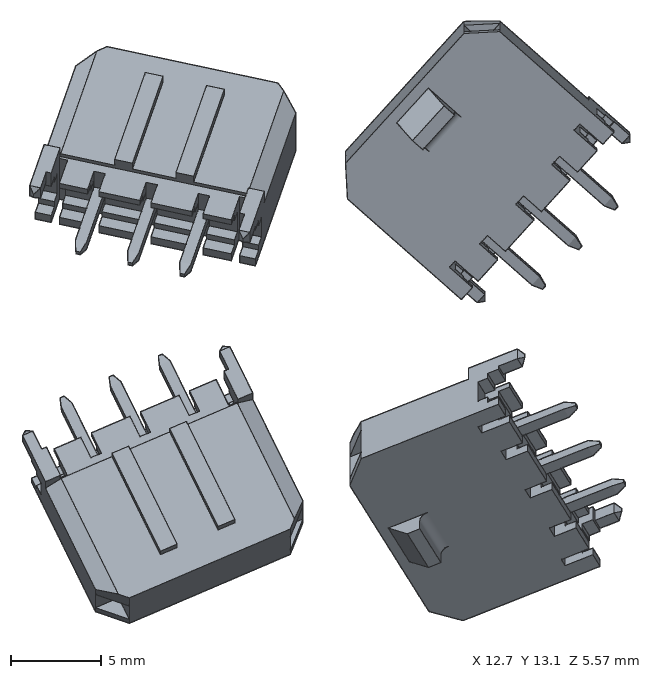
import cadquery as cq


HOUSING_WIDTH = 12.65
HOUSING_LENGTH = 9.9
HOUSING_HEIGHT = 3.86
CORNER_CHAMFER = 1.41
EDGE_BEVEL_WIDTH = 0.95
EDGE_BEVEL_HEIGHT = 0.48

RECESS_BOTTOM = 0.61
RECESS_TOP = 2.62

LEDGE_START = 8.05
LEDGE_HEIGHT = 3.61
MOUTH_START = 8.63
MOUTH_BOTTOM = 1.05
MOUTH_TOP = 2.76
MOUTH_STEP_START = 9.23
MOUTH_STEP_BOTTOM = 0.61
MOUTH_STEP_TOP = 3.19
PIN_SLOT_START = 8.57
END_SLOT_START = 8.19
END_SLOT_WIDTH = 0.47

TOP_HEIGHT = 4.37
RIB_WIDTH = 1.02
RIB_SPACING = 3.52
RIB_START = 1.62

EAR_WIDTH = 0.92
PEG_WIDTH = 0.63
PEG_BOTTOM = 3.47
PEG_TAPER_START = 11.08

LATCH_WIDTH = 2.63
LATCH_DEPTH = 1.2
LATCH_RAMP_START = 0.59
LATCH_RAMP_END = 1.77
LATCH_BACK = 2.54
LATCH_FILLET = 0.47

PIN_COUNT = 3
PIN_PITCH = 3.0
PIN_WIDTH = 0.64
PIN_TIP_WIDTH = 0.25
PIN_TAPER_START = 12.47
PIN_END = 13.08

HALF_WIDTH = HOUSING_WIDTH / 2
PIN_AXIS_HEIGHT = (MOUTH_BOTTOM + MOUTH_TOP) / 2
PIN_PLACES = [(i - (PIN_COUNT - 1) / 2) * PIN_PITCH for i in range(PIN_COUNT)]


def block(x_range, depth_range, z_range):
    """Box between two X values, two depths behind the mating face and two heights."""
    x0, x1 = x_range
    near, far = depth_range
    z0, z1 = z_range
    return cq.Workplane("XY").box(x1 - x0, far - near, z1 - z0, centered=False).translate((x0, -far, z0))


def on_both_sides(shape):
    """The shape together with its mirror image across the middle plane X = 0."""
    return shape.union(shape.mirror("YZ"))


def make_shell():
    """Outer block with its two mating corners cut off and its long top edges bevelled."""
    shell = block((-HALF_WIDTH, HALF_WIDTH), (0, HOUSING_LENGTH), (0, HOUSING_HEIGHT))
    shell = shell.edges("|Z and >Y").chamfer(CORNER_CHAMFER)
    bevel = (
        cq.Workplane("XZ")
        .moveTo(HALF_WIDTH, HOUSING_HEIGHT)
        .lineTo(HALF_WIDTH - EDGE_BEVEL_WIDTH, HOUSING_HEIGHT)
        .lineTo(HALF_WIDTH, HOUSING_HEIGHT - EDGE_BEVEL_HEIGHT)
        .close()
        .extrude(HOUSING_LENGTH)
    )
    return shell.cut(on_both_sides(bevel))


def make_corner_recesses():
    """Square cuts through the chamfered corners, between their upper and lower parts."""
    recess = block(
        (HALF_WIDTH - CORNER_CHAMFER, HALF_WIDTH),
        (0, CORNER_CHAMFER),
        (RECESS_BOTTOM, RECESS_TOP),
    )
    return on_both_sides(recess)


def make_ledge_cut():
    """Material removed above the lowered rear ledge."""
    return block((-HALF_WIDTH, HALF_WIDTH), (LEDGE_START, HOUSING_LENGTH), (LEDGE_HEIGHT, HOUSING_HEIGHT))


def make_ribs():
    """Two key ribs along the top face."""
    rib = block(
        ((RIB_SPACING - RIB_WIDTH) / 2, (RIB_SPACING + RIB_WIDTH) / 2),
        (RIB_START, LEDGE_START),
        (HOUSING_HEIGHT, TOP_HEIGHT),
    )
    return on_both_sides(rib)


def make_ears():
    """Raised rear corners, each carrying a locating peg that tapers at 45 degrees to a ridge."""
    ear = block(
        (HALF_WIDTH - EAR_WIDTH, HALF_WIDTH),
        (LEDGE_START, HOUSING_LENGTH),
        (MOUTH_STEP_TOP, TOP_HEIGHT),
    )
    peg_inner = HALF_WIDTH - PEG_WIDTH
    peg_end = PEG_TAPER_START + PEG_WIDTH / 2
    peg = block((peg_inner, HALF_WIDTH), (HOUSING_LENGTH, peg_end), (PEG_BOTTOM, TOP_HEIGHT))
    plan = (
        cq.Workplane("XY")
        .moveTo(peg_inner, -HOUSING_LENGTH)
        .lineTo(HALF_WIDTH, -HOUSING_LENGTH)
        .lineTo(HALF_WIDTH, -PEG_TAPER_START)
        .lineTo(HALF_WIDTH - PEG_WIDTH / 2, -peg_end)
        .lineTo(peg_inner, -PEG_TAPER_START)
        .close()
        .extrude(TOP_HEIGHT)
    )
    peg = peg.faces("<Y").edges("|X").chamfer(PEG_WIDTH / 2).intersect(plan)
    return on_both_sides(ear.union(peg))


def make_latch():
    """Hook under the floor with a ramp in front and a concave fillet at its back."""
    fillet_y = -(LATCH_BACK + LATCH_FILLET)
    return (
        cq.Workplane("YZ")
        .moveTo(-LATCH_RAMP_START, 0)
        .lineTo(-LATCH_RAMP_END, -LATCH_DEPTH)
        .lineTo(-LATCH_BACK, -LATCH_DEPTH)
        .lineTo(-LATCH_BACK, -LATCH_FILLET)
        .radiusArc((fillet_y, 0), -LATCH_FILLET)
        .close()
        .extrude(LATCH_WIDTH / 2, both=True)
    )


def make_rear_mouth():
    """Stepped opening across the rear end, wider at the outside."""
    full_width = (-HALF_WIDTH, HALF_WIDTH)
    inner = block(full_width, (MOUTH_START, HOUSING_LENGTH), (MOUTH_BOTTOM, MOUTH_TOP))
    outer = block(full_width, (MOUTH_STEP_START, HOUSING_LENGTH), (MOUTH_STEP_BOTTOM, MOUTH_STEP_TOP))
    return inner.union(outer)


def make_rear_slots():
    """Full-height slots in the rear end: one at each pin and one beside each ear."""
    slot_outer = HALF_WIDTH - EAR_WIDTH
    slots = on_both_sides(
        block(
            (slot_outer - END_SLOT_WIDTH, slot_outer),
            (END_SLOT_START, HOUSING_LENGTH),
            (0, HOUSING_HEIGHT),
        )
    )
    for x in PIN_PLACES:
        pin_range = (x - PIN_WIDTH / 2, x + PIN_WIDTH / 2)
        slots = slots.union(block(pin_range, (PIN_SLOT_START, HOUSING_LENGTH), (0, HOUSING_HEIGHT)))
    return slots


def make_housing():
    """Housing with its ribs, ears, latch and rear openings, as one solid."""
    return (
        make_shell()
        .cut(make_corner_recesses())
        .cut(make_ledge_cut())
        .cut(make_rear_mouth())
        .cut(make_rear_slots())
        .union(make_ribs())
        .union(make_ears())
        .union(make_latch())
    )


def make_pin(x):
    """Square pin standing on the floor of its slot, with a tapered tip."""
    shank = (
        cq.Workplane("XZ", origin=(x, -PIN_SLOT_START, PIN_AXIS_HEIGHT))
        .rect(PIN_WIDTH, PIN_WIDTH)
        .extrude(PIN_TAPER_START - PIN_SLOT_START)
    )
    tip = (
        cq.Workplane("XZ", origin=(x, -PIN_TAPER_START, PIN_AXIS_HEIGHT))
        .rect(PIN_WIDTH, PIN_WIDTH)
        .workplane(offset=PIN_END - PIN_TAPER_START)
        .rect(PIN_TIP_WIDTH, PIN_TIP_WIDTH)
        .loft(combine=True)
    )
    return shank.union(tip)


housing = make_housing()
pins = [make_pin(x) for x in PIN_PLACES]

result = cq.Compound.makeCompound([housing.val(), *[pin.val() for pin in pins]])